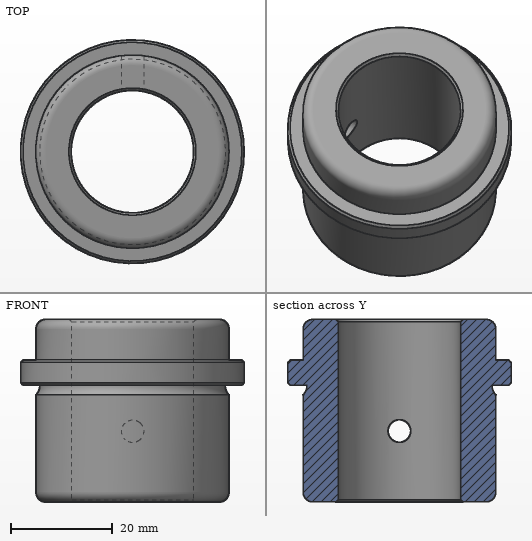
import cadquery as cq
import math

total_height = 36.0
flange_radius = 22.0
flange_thickness = 5.0
flange_chamfer = 0.5
body_radius = 19.0
body_length = 22.95
edge_radius = 2.0

bore_radius = 12.0
bore_chamfer = 0.5

relief_height = 1.9
relief_depth = 0.75

side_hole_diameter = 4.4
side_hole_height = 14.0

flange_top = body_length + flange_thickness
relief_bottom = body_length - relief_height
relief_radius = body_radius - relief_depth

relief_arc_angle = 2 * math.atan(relief_depth / relief_height)
relief_arc_radius = relief_height / math.sin(relief_arc_angle)
relief_mid_radius = relief_radius + relief_arc_radius * (1 - math.cos(relief_arc_angle / 2))
relief_mid_height = body_length - relief_arc_radius * math.sin(relief_arc_angle / 2)


def make_sleeve():
    """Revolved body with the rounded rims, flange, relief and chamfered bore."""
    rim_radius = body_radius - edge_radius
    arc_offset = edge_radius * math.sqrt(0.5)
    flange_rim_radius = flange_radius - flange_chamfer
    bore_rim_radius = bore_radius + bore_chamfer
    profile = (
        cq.Workplane("XZ")
        .moveTo(bore_rim_radius, 0)
        .lineTo(rim_radius, 0)
        .threePointArc(
            (rim_radius + arc_offset, edge_radius - arc_offset),
            (body_radius, edge_radius),
        )
        .lineTo(body_radius, relief_bottom)
        .threePointArc(
            (relief_mid_radius, relief_mid_height),
            (relief_radius, body_length),
        )
        .lineTo(flange_rim_radius, body_length)
        .lineTo(flange_radius, body_length + flange_chamfer)
        .lineTo(flange_radius, flange_top - flange_chamfer)
        .lineTo(flange_rim_radius, flange_top)
        .lineTo(body_radius, flange_top)
        .lineTo(body_radius, total_height - edge_radius)
        .threePointArc(
            (rim_radius + arc_offset, total_height - edge_radius + arc_offset),
            (rim_radius, total_height),
        )
        .lineTo(bore_rim_radius, total_height)
        .lineTo(bore_radius, total_height - bore_chamfer)
        .lineTo(bore_radius, bore_chamfer)
        .close()
    )
    return profile.revolve(360, (0, 0, 0), (0, 1, 0))


def make_side_hole():
    """Cylinder running from the axis outward along +Y."""
    return (
        cq.Workplane("XZ")
        .center(0, side_hole_height)
        .circle(side_hole_diameter / 2)
        .extrude(-flange_radius)
    )


result = make_sleeve().cut(make_side_hole())